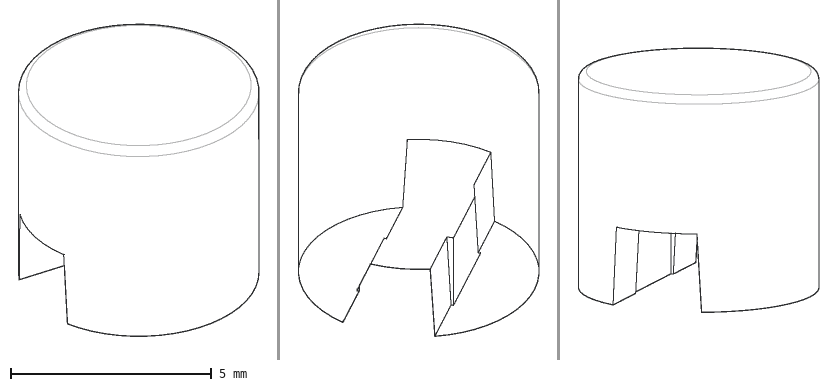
import cadquery as cq

cap_diameter = 6.0
cap_height = 5.5
rim_radius = 0.2

slot_depth = 2.0
slot_roof_width = 2.16
slot_mouth_width = 2.375

socket_width = 2.5
socket_depth = slot_depth

cap = (
    cq.Workplane("XY")
    .circle(cap_diameter / 2)
    .extrude(cap_height)
    .faces(">Z")
    .edges()
    .fillet(rim_radius)
)

slot = (
    cq.Workplane("XZ")
    .polyline([
        (-slot_mouth_width / 2, 0),
        (slot_mouth_width / 2, 0),
        (slot_roof_width / 2, slot_depth),
        (-slot_roof_width / 2, slot_depth),
    ])
    .close()
    .extrude(cap_diameter / 2, both=True)
)

socket = cq.Workplane("XY").rect(socket_width, socket_width).extrude(socket_depth)

result = cap.cut(slot).cut(socket)